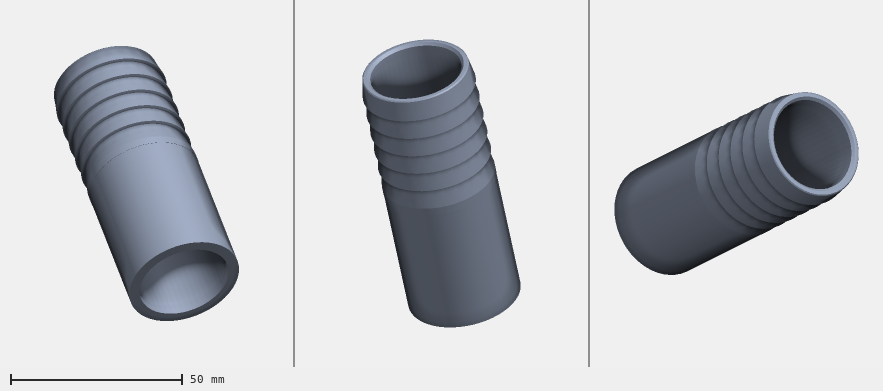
import cadquery as cq

length = 80.0
tip_radius = 33.5 / 2
tube_radius = 33.4 / 2
root_radius = 15.8
bore_radius = 27.0 / 2

barb_count = 6
barb_pitch = 6.2
barb_back_width = 0.2
collar_end = 40.0

nose_chamfer = 0.3
mouth_radius = 14.3
mouth_depth = mouth_radius - bore_radius


def outer_profile():
    """Half section of the solid body, from the axis round to the far end."""
    points = [
        (0, 0),
        (0, root_radius - nose_chamfer),
        (nose_chamfer, root_radius),
    ]
    for barb in range(1, barb_count):
        root_x = nose_chamfer + barb * barb_pitch
        points.append((root_x - barb_back_width, tip_radius))
        points.append((root_x, root_radius))
    collar_start = nose_chamfer + barb_count * barb_pitch - barb_back_width
    points += [
        (collar_start, tip_radius),
        (collar_end, tip_radius),
        (collar_end, tube_radius),
        (length, tube_radius),
        (length, 0),
    ]
    return points


def bore_profile():
    """Half section of the through bore and its countersunk mouth."""
    return [
        (0, 0),
        (0, mouth_radius),
        (mouth_depth, bore_radius),
        (length, bore_radius),
        (length, 0),
    ]


def revolve_about_x(points):
    return cq.Workplane("XY").polyline(points).close().revolve(360, (0, 0), (1, 0))


result = revolve_about_x(outer_profile()).cut(revolve_about_x(bore_profile()))